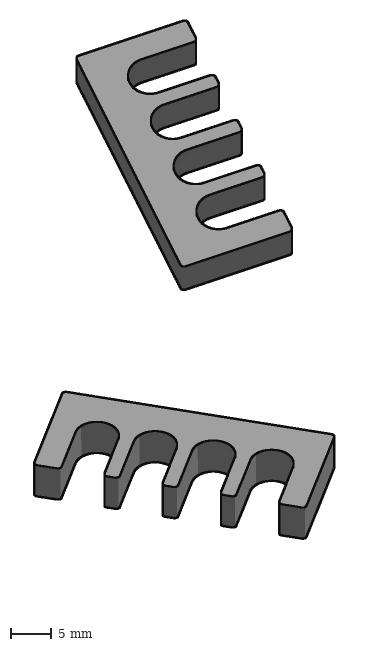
import cadquery as cq

length = 35.0
width = 15.0
height = 5.0
corner_radius = 0.5

slot_count = 4
slot_pitch = 7.5
slot_width = 5.5
slot_depth = 10.25

slot_radius = slot_width / 2
back_y = width / 2
arc_center_y = back_y - slot_depth + slot_radius


def make_slot(center_x):
    """Return the solid removed by one slot running through the full height."""
    left = center_x - slot_radius
    right = center_x + slot_radius
    return (
        cq.Workplane("XY")
        .moveTo(left, back_y)
        .lineTo(left, arc_center_y)
        .threePointArc((center_x, back_y - slot_depth), (right, arc_center_y))
        .lineTo(right, back_y)
        .close()
        .extrude(height)
    )


comb = cq.Workplane("XY").box(length, width, height, centered=(True, True, False))
for index in range(slot_count):
    comb = comb.cut(make_slot((index - (slot_count - 1) / 2) * slot_pitch))

tip_edges = comb.faces(">Y").edges("|Z")
front_edges = comb.faces("<Y").edges("|Z")
result = comb.newObject(tip_edges.vals() + front_edges.vals()).fillet(corner_radius)